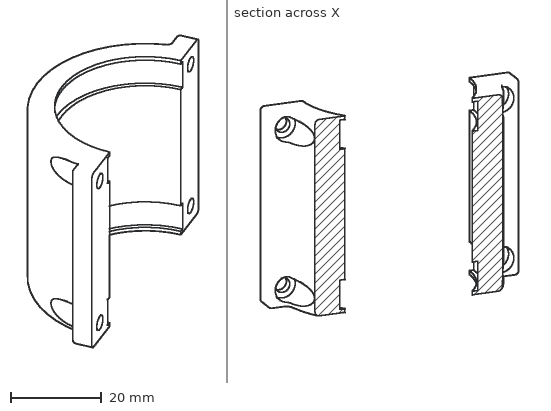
import cadquery as cq
import math

width = 60.0
height = 45.9
outer_radius = 26.0
bore_radius = 20.0
flange_thickness = 5.0
edge_round = 1.0

hole_diameter = 3.4
counterbore_diameter = 6.0
counterbore_depth = 3.0
hole_y = 25.5
hole_z = 18.65

band_width = 6.7
band_depth = 1.0


def half_cylinder(radius, length):
    """Half cylinder on the -X side, centred along Z."""
    return (
        cq.Workplane("XY")
        .workplane(offset=-length / 2)
        .moveTo(0, -radius)
        .threePointArc((-radius, 0), (0, radius))
        .close()
        .extrude(length)
    )


def screw_cylinder(diameter, start_x, length, y, z):
    """Cylinder running towards -X from start_x."""
    return cq.Workplane("YZ", origin=(start_x, y, z)).circle(diameter / 2).extrude(-length)


def saddle():
    """Half shell blank with two flanges and rounded outer edges."""
    flanges = cq.Workplane("XY").box(flange_thickness, width, height)
    flanges = flanges.translate((-flange_thickness / 2, 0, 0))
    body = half_cylinder(outer_radius, height).union(flanges)

    corner_y = math.sqrt(outer_radius**2 - flange_thickness**2)
    for y in (-corner_y, corner_y):
        corner = cq.selectors.NearestToPointSelector((-flange_thickness, y, 0))
        body = body.edges("|Z").edges(corner).fillet(edge_round)

    tip_edges = body.faces("<Y or >Y").edges("|Z").edges("<X")
    end_edges = body.faces("<Z or >Z").edges("not(>X)")
    return body.newObject(tip_edges.vals() + end_edges.vals()).fillet(edge_round)


result = saddle().cut(half_cylinder(bore_radius, height))

band_radius = bore_radius + band_depth
counterbore_floor_x = counterbore_depth - flange_thickness
for z in (-hole_z, hole_z):
    result = result.cut(half_cylinder(band_radius, band_width).translate((0, 0, z)))
    for y in (-hole_y, hole_y):
        counterbore = screw_cylinder(counterbore_diameter, counterbore_floor_x, outer_radius, y, z)
        hole = screw_cylinder(hole_diameter, 0, outer_radius, y, z)
        result = result.cut(counterbore).cut(hole)